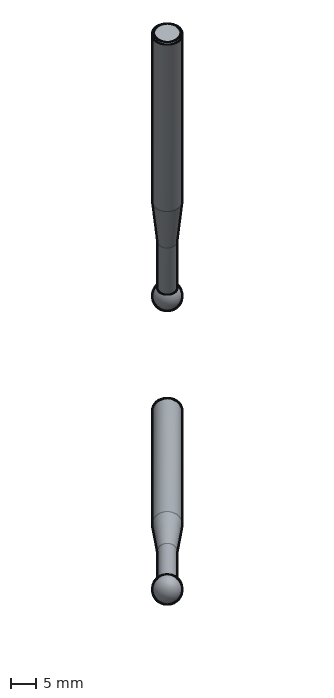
import cadquery as cq
import math

total_length = 75.0
shank_diameter = 6.0
ball_diameter = 6.0
neck_diameter = 4.0
taper_bottom_z = 18.0
taper_top_z = 28.95
end_chamfer = 0.4

shank_radius = shank_diameter / 2
ball_radius = ball_diameter / 2
neck_radius = neck_diameter / 2
neck_bottom_z = ball_radius + math.sqrt(ball_radius**2 - neck_radius**2)

profile = (
    cq.Workplane("XZ")
    .moveTo(0, 0)
    .threePointArc((ball_radius, ball_radius), (neck_radius, neck_bottom_z))
    .lineTo(neck_radius, taper_bottom_z)
    .lineTo(shank_radius, taper_top_z)
    .lineTo(shank_radius, total_length - end_chamfer)
    .lineTo(shank_radius - end_chamfer, total_length)
    .lineTo(0, total_length)
    .close()
)

result = profile.revolve(360, (0, 0, 0), (0, 1, 0))